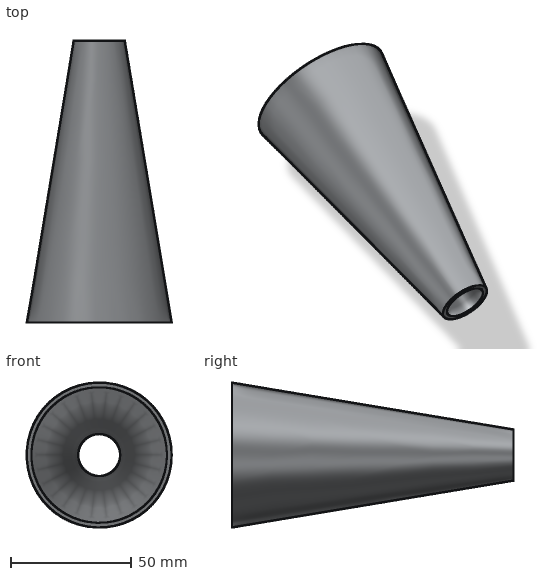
import cadquery as cq

length = 117
wide_diameter = 60.3
narrow_diameter = 21.3
wall = 2.0

wide_radius = wide_diameter / 2
narrow_radius = narrow_diameter / 2

wall_section = (
    cq.Workplane("XY")
    .moveTo(wide_radius - wall, 0)
    .lineTo(wide_radius, 0)
    .lineTo(narrow_radius, length)
    .lineTo(narrow_radius - wall, length)
    .close()
)

result = wall_section.revolve(360, (0, 0, 0), (0, 1, 0))